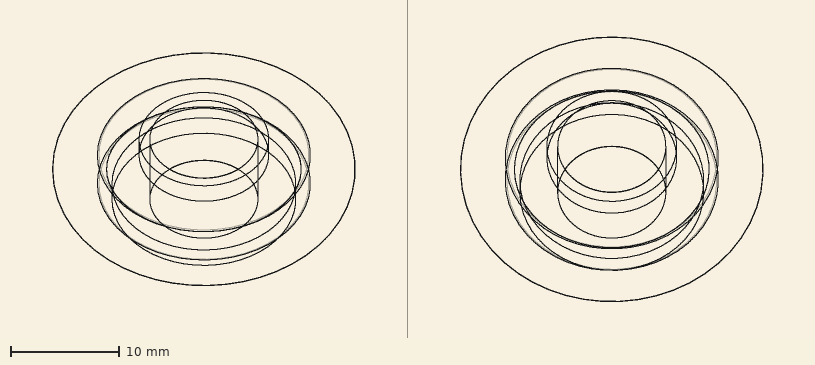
import cadquery as cq

outer_diameter = 28.0
ring_section_diameter = 5.0
total_height = 8.0
bore_diameter = 10.0
boss_diameter = 12.0
lower_hub_diameter = 17.0
web_diameter = 19.8
web_thickness = 3.9
web_edge_radius = 0.2

ring_section_radius = ring_section_diameter / 2
ring_path_radius = outer_diameter / 2 - ring_section_radius
hub_top = total_height / 2
hub_bottom = -total_height / 2
web_top = web_thickness / 2
web_bottom = -web_top


def disc(diameter, bottom, top):
    """Solid cylinder on the Z axis between two heights."""
    return cq.Workplane("XY").workplane(offset=bottom).circle(diameter / 2).extrude(top - bottom)


def make_ring():
    """Round-section ring seated around the rim of the hub."""
    section = cq.Workplane("XZ").center(ring_path_radius, 0).circle(ring_section_radius)
    return section.revolve(360, (-ring_path_radius, 0), (-ring_path_radius, 1))


def make_hub(seated_ring):
    """Bored hub with a round-edged web, its rim grooved to the shape of the ring."""
    lower_hub = disc(lower_hub_diameter, hub_bottom, web_top)
    web = disc(web_diameter, web_bottom, web_top).edges().fillet(web_edge_radius)
    boss = disc(boss_diameter, web_top, hub_top)
    bore = disc(bore_diameter, hub_bottom, hub_top)
    return lower_hub.union(web).union(boss).cut(bore).cut(seated_ring)


ring = make_ring()
hub = make_hub(ring)

result = cq.Compound.makeCompound([ring.val(), *hub.vals()])